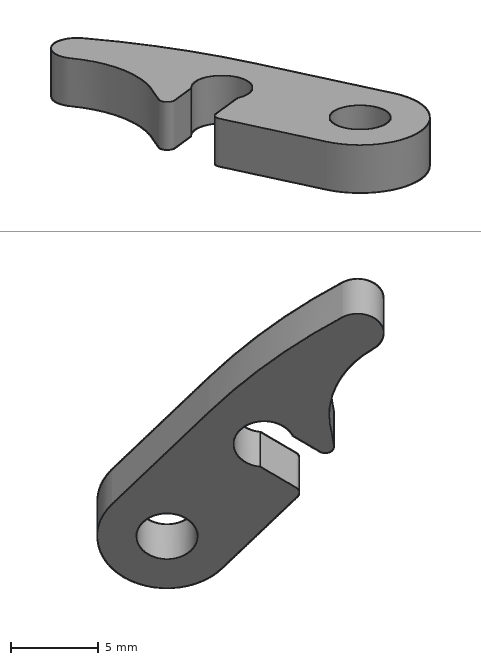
import cadquery as cq
import math

thickness = 3.0
pivot_radius = 4.0
hole_diameter = 3.5

slot_x = -9.0
slot_round_diameter = 3.5
slot_width = 3.0
corner_radius = 0.5

nose_radius = 1.5
nose_x = -19.0
nose_y = 1.05
belly_radius = 6.4
belly_x = -17.0
belly_end_x = -12.1
barb_bottom_y = -3.38

nose_run = slot_x - nose_x
nose_drop = pivot_radius - nose_y
back_radius = (nose_run**2 + nose_drop**2 - nose_radius**2) / (2 * (nose_drop - nose_radius))
back_y = pivot_radius - back_radius

belly_y = nose_y - math.sqrt((belly_radius + nose_radius) ** 2 - (belly_x - nose_x) ** 2)

slot_left = slot_x - slot_width / 2
slot_right = slot_x + slot_width / 2
barb_x = slot_left - corner_radius
barb_y = barb_bottom_y + corner_radius


def circle_point(x, y, radius, angle):
    """Point on a circle at an angle in radians."""
    return (x + radius * math.cos(angle), y + radius * math.sin(angle))


def direction(x_from, y_from, x_to, y_to):
    """Angle in radians of the line from one point to another."""
    return math.atan2(y_to - y_from, x_to - x_from)


def make_body():
    back_start_angle = math.pi / 2
    back_end_angle = direction(slot_x, back_y, nose_x, nose_y)
    back_mid_angle = (back_start_angle + back_end_angle) / 2
    back_mid = circle_point(slot_x, back_y, back_radius, back_mid_angle)
    back_end = circle_point(slot_x, back_y, back_radius, back_end_angle)

    nose_tip = (nose_x - nose_radius, nose_y)
    belly_start_angle = direction(belly_x, belly_y, nose_x, nose_y)
    belly_end_angle = math.acos((belly_end_x - belly_x) / belly_radius)
    belly_mid_angle = (belly_start_angle + belly_end_angle) / 2
    belly_start = circle_point(belly_x, belly_y, belly_radius, belly_start_angle)
    belly_mid = circle_point(belly_x, belly_y, belly_radius, belly_mid_angle)
    belly_end = circle_point(belly_x, belly_y, belly_radius, belly_end_angle)

    flank_length = math.hypot(belly_end[0] - barb_x, belly_end[1] - barb_y)
    to_flank = direction(barb_x, barb_y, *belly_end) % (2 * math.pi)
    tip_start_angle = to_flank + math.acos(corner_radius / flank_length)
    tip_mid_angle = (tip_start_angle + 2 * math.pi) / 2
    tip_start = circle_point(barb_x, barb_y, corner_radius, tip_start_angle)
    tip_mid = circle_point(barb_x, barb_y, corner_radius, tip_mid_angle)

    slot_throat_y = -math.sqrt((slot_round_diameter / 2) ** 2 - (slot_width / 2) ** 2)

    corner_x = slot_right + corner_radius
    corner_y = -pivot_radius + corner_radius
    corner_mid_angle = math.radians(225)
    corner_mid = circle_point(corner_x, corner_y, corner_radius, corner_mid_angle)

    return (
        cq.Workplane("XY")
        .moveTo(0, pivot_radius)
        .lineTo(slot_x, pivot_radius)
        .threePointArc(back_mid, back_end)
        .threePointArc(nose_tip, belly_start)
        .threePointArc(belly_mid, belly_end)
        .lineTo(*tip_start)
        .threePointArc(tip_mid, (slot_left, barb_y))
        .lineTo(slot_left, slot_throat_y)
        .threePointArc((slot_x, slot_round_diameter / 2), (slot_right, slot_throat_y))
        .lineTo(slot_right, corner_y)
        .threePointArc(corner_mid, (corner_x, -pivot_radius))
        .lineTo(0, -pivot_radius)
        .threePointArc((pivot_radius, 0), (0, pivot_radius))
        .close()
        .extrude(thickness)
    )


def make_pivot_hole():
    return cq.Workplane("XY").circle(hole_diameter / 2).extrude(thickness)


result = make_body().cut(make_pivot_hole())